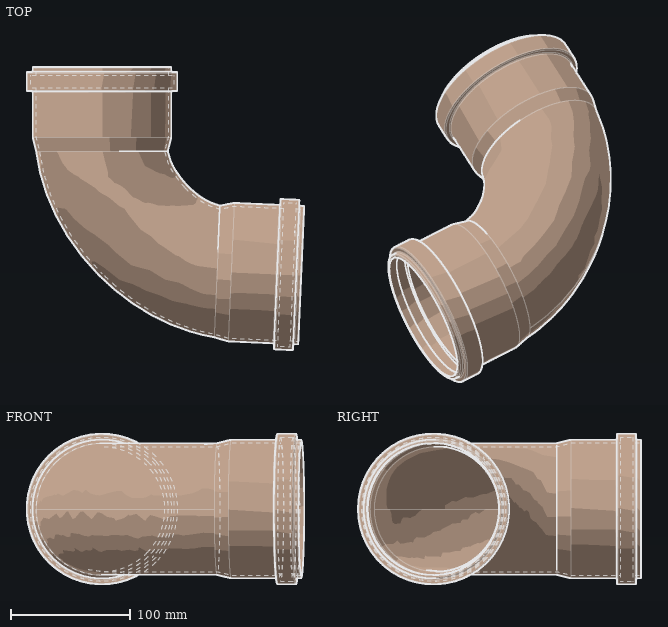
import cadquery as cq
import math

bend_angle = 87.5
bend_radius = 101.0
inward_drift = 7.1
radial_squeeze = 2.4
bend_steps = 8

wall = 2.9
pipe_radius = 110.6 / 2
socket_radius = 116.5 / 2
ring_radius = 126.5 / 2

cone_length = 12.0
socket_length = 71.0
lip_length = 4.3
ring_length = 16.2
ring_end = socket_length - lip_length
ring_start = ring_end - ring_length
edge_round = 1.0

bend_centre = cq.Vector(bend_radius, 0, 0)


def bend_plane(angle):
    """Section plane through the bend centre; its X axis points radially outwards."""
    a = math.radians(angle)
    outward = cq.Vector(-math.cos(a), -math.sin(a), 0)
    forward = cq.Vector(math.sin(a), -math.cos(a), 0)
    return cq.Plane(origin=bend_centre, xDir=outward, normal=forward)


def make_bend(radius):
    """Loft elliptical sections that narrow and drift inwards towards mid bend."""
    sections = []
    for step in range(bend_steps + 1):
        fraction = step / bend_steps
        bulge = math.sin(math.pi * fraction)
        section = (
            cq.Workplane(bend_plane(bend_angle * fraction))
            .center(bend_radius - inward_drift * bulge, 0)
            .ellipse(radius - radial_squeeze * bulge, radius)
        )
        sections.append(section.wires().val())
    return cq.Workplane(cq.Solid.makeLoft(sections))


def revolve_socket(inset):
    """Solid of revolution about +Y; inset shrinks the outer shape to the bore."""
    pipe = pipe_radius - inset
    socket = socket_radius - inset
    ring = ring_radius - inset
    return (
        cq.Workplane("XY")
        .moveTo(0, 0)
        .lineTo(pipe, 0)
        .lineTo(socket, cone_length)
        .lineTo(socket, ring_start + inset)
        .lineTo(ring, ring_start + inset)
        .lineTo(ring, ring_end - inset)
        .lineTo(socket, ring_end - inset)
        .lineTo(socket, socket_length)
        .lineTo(0, socket_length)
        .close()
        .revolve(360, (0, 0, 0), (0, 1, 0))
    )


def round_socket(socket):
    """Round the ring corners, the ring roots and the mouth edge."""
    rounded_levels = cq.selectors.BoxSelector(
        (-ring_radius, ring_start - edge_round, -ring_radius),
        (ring_radius, socket_length + edge_round, ring_radius),
        boundingbox=False,
    )
    return socket.edges("%CIRCLE").edges(rounded_levels).fillet(edge_round)


def at_both_ends(socket):
    """Return the socket on the bend start and a copy turned onto the bend end."""
    turned = socket.rotate((0, 0, 0), (0, 0, 1), 180)
    axis_top = bend_centre + cq.Vector(0, 0, 2.4)
    far = turned.rotate(bend_centre.toTuple(), axis_top.toTuple(), bend_angle)
    return socket, far


def make_elbow(radius, socket):
    near, far = at_both_ends(socket)
    return make_bend(radius).union(near).union(far)


outer = make_elbow(pipe_radius, round_socket(revolve_socket(0)))
bore = make_elbow(pipe_radius - wall, revolve_socket(wall))
result = outer.cut(bore)